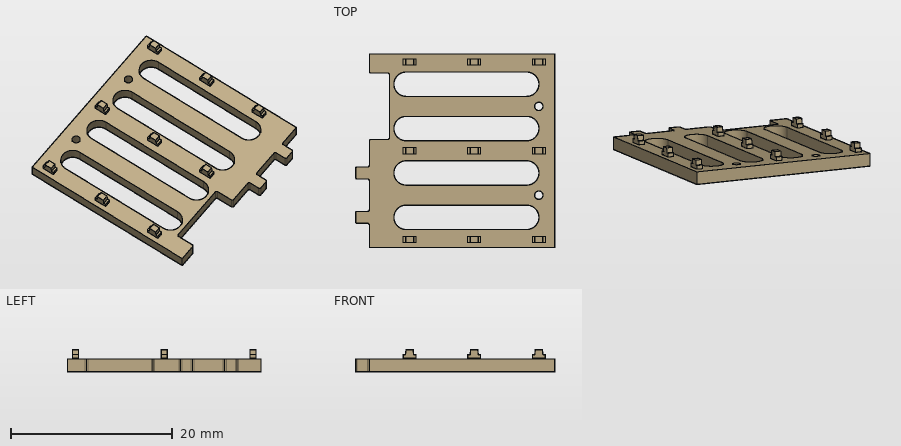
import cadquery as cq

board_length = 23.0
board_width = 24.0
board_thickness = 1.6
corner_radius = 0.2

overall_length = 24.7
tab_length = overall_length - board_length
tab_width = 1.5
tab_count = 2

notch_depth = 2.5
notch_width = 8.2
notch_from_edge = 2.4

edge_margin = 2.0
column_pitch = 8.0
row_pitch = 11.0
columns = 3
rows = 3
last_column_x = board_length - edge_margin

slot_count = 4
slot_length = 17.93
slot_width = 3.0
slot_pitch = row_pitch / 2
hole_diameter = 1.01

component_gap = 0.05
base_length = 1.6
component_width = 0.8
base_height = 0.47
cap_bottom_length = 1.04
cap_top_length = 0.91
component_height = 1.09


def centred_steps(count, pitch):
    """Evenly spaced positions, symmetric about zero."""
    return [(i - (count - 1) / 2) * pitch for i in range(count)]


def board_outline():
    """Outline with the notch and the two tabs on the -X edge."""
    top = board_width / 2
    notch_top = top - notch_from_edge
    notch_bottom = notch_top - notch_width
    points = [
        (0, -top),
        (board_length, -top),
        (board_length, top),
        (0, top),
        (0, notch_top),
        (notch_depth, notch_top),
        (notch_depth, notch_bottom),
        (0, notch_bottom),
    ]
    tab_centres = centred_steps(slot_count, slot_pitch)[:tab_count]
    for tab_y in reversed(tab_centres):
        tab_top = tab_y + tab_width / 2
        tab_bottom = tab_y - tab_width / 2
        points += [
            (0, tab_top),
            (-tab_length, tab_top),
            (-tab_length, tab_bottom),
            (0, tab_bottom),
        ]
    return cq.Workplane("XY").polyline(points).close()


def make_board():
    board = board_outline().extrude(board_thickness)

    board = board.edges("|Z").edges("not(<Y or >Y)").fillet(corner_radius)

    slot_x = last_column_x - slot_length / 2
    slots = (
        cq.Workplane("XY")
        .pushPoints([(slot_x, y) for y in centred_steps(slot_count, slot_pitch)])
        .slot2D(slot_length, slot_width)
        .extrude(board_thickness)
    )
    holes = (
        cq.Workplane("XY")
        .pushPoints([(last_column_x, y) for y in centred_steps(rows - 1, row_pitch)])
        .circle(hole_diameter / 2)
        .extrude(board_thickness)
    )
    return board.cut(slots).cut(holes)


def make_component(x, y):
    """Stepped profile in XZ, extruded across the component's width."""
    profile = [
        (-base_length / 2, 0),
        (base_length / 2, 0),
        (base_length / 2, base_height),
        (cap_bottom_length / 2, base_height),
        (cap_top_length / 2, component_height),
        (-cap_top_length / 2, component_height),
        (-cap_bottom_length / 2, base_height),
        (-base_length / 2, base_height),
    ]
    component = cq.Workplane("XZ").polyline(profile).close().extrude(component_width / 2, both=True)
    return component.translate((x, y, board_thickness + component_gap))


board = make_board()
components = [
    make_component(last_column_x - column * column_pitch, y)
    for column in range(columns)
    for y in centred_steps(rows, row_pitch)
]

result = cq.Compound.makeCompound([board.val(), *[component.val() for component in components]])